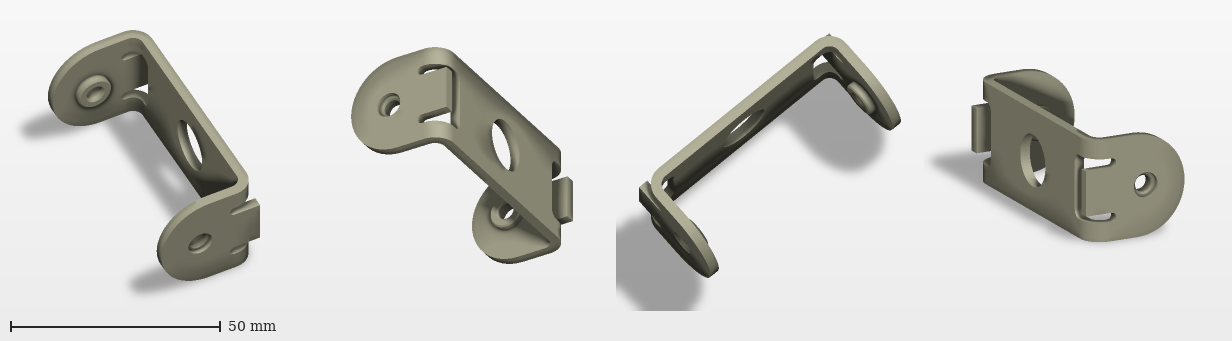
import cadquery as cq

LENGTH = 59.5
HEIGHT = 25.4
DEPTH = 26.4
SHEET = 2.55
BEND_INNER_RADIUS = 2.6
BEND_OUTER_RADIUS = BEND_INNER_RADIUS + SHEET
EAR_RADIUS = HEIGHT / 2
WEB_HOLE_DIAMETER = 13.05

TAB_OVERHANG = 1.1
TAB_HEIGHT = 11.25
WINDOW_HEIGHT = 16.0
WINDOW_WEB_REACH = 8.05
WINDOW_CORNER_RADIUS = 2.0
SLOT_REACH = 6.95

BUSHING_SETBACK = 10.4
FLANGE_DIAMETER = 8.75
FLANGE_THICKNESS = 2.0
FLANGE_CHAMFER = 0.35
SHANK_DIAMETER = 6.35
SHANK_RECESS = 1.2
BORE_DIAMETER = 4.15
BORE_CHAMFER = 0.4

HALF_LENGTH = LENGTH / 2
WEB_BACK = DEPTH - TAB_OVERHANG
BEND_START = WEB_BACK - BEND_OUTER_RADIUS
SLOT_WIDTH = (WINDOW_HEIGHT - TAB_HEIGHT) / 2
SLOT_END = WEB_BACK - SLOT_REACH
SIDES = (-1, 1)


def box_between(x_range, y_range, height):
    """Box over the given X and Y ranges, centred on Z = 0."""
    (x0, x1), (y0, y1) = x_range, y_range
    return (
        cq.Workplane("XY")
        .box(abs(x1 - x0), y1 - y0, height)
        .translate(((x0 + x1) / 2, (y0 + y1) / 2, 0))
    )


def cylinder_along_x(x_start, length, diameter):
    """Cylinder on the bushing axis, running toward +X from x_start."""
    return (
        cq.Workplane("YZ", origin=(x_start, BUSHING_SETBACK, 0))
        .circle(diameter / 2)
        .extrude(length)
    )


def make_bent_sheet():
    """U-shaped sheet with rounded bends and half-round ear fronts."""
    outer = box_between((-HALF_LENGTH, HALF_LENGTH), (0, WEB_BACK), HEIGHT)
    outer = outer.edges("|Z and >Y").fillet(BEND_OUTER_RADIUS)
    inner_half = HALF_LENGTH - SHEET
    inner = box_between((-inner_half, inner_half), (0, WEB_BACK - SHEET), HEIGHT)
    inner = inner.edges("|Z and >Y").fillet(BEND_INNER_RADIUS)
    ear_outline = (
        cq.Workplane("YZ", origin=(-HALF_LENGTH, 0, 0))
        .moveTo(WEB_BACK, EAR_RADIUS)
        .lineTo(EAR_RADIUS, EAR_RADIUS)
        .threePointArc((0, 0), (EAR_RADIUS, -EAR_RADIUS))
        .lineTo(WEB_BACK, -EAR_RADIUS)
        .close()
        .extrude(LENGTH)
    )
    return outer.cut(inner).intersect(ear_outline)


def make_window(side):
    """Opening through one bend, with rounded corners where it ends in the web."""
    outer_x = side * HALF_LENGTH
    inner_x = side * (HALF_LENGTH - WINDOW_WEB_REACH)
    window = box_between((outer_x, inner_x), (BEND_START, DEPTH), WINDOW_HEIGHT)
    web_end = "<X" if side > 0 else ">X"
    return window.edges(f"|Y and {web_end}").fillet(WINDOW_CORNER_RADIUS)


def make_tab(side):
    """Flat tab that carries the ear straight back through the window."""
    outer_x = side * HALF_LENGTH
    return box_between((outer_x, outer_x - side * SHEET), (BEND_START, DEPTH), TAB_HEIGHT)


def make_relief_slots(side):
    """Pair of round-ended slots in one ear, above and below its tab."""
    inner_z = TAB_HEIGHT / 2
    outer_z = WINDOW_HEIGHT / 2
    round_start = SLOT_END + SLOT_WIDTH / 2
    upper_slot = (
        cq.Workplane("YZ", origin=(side * HALF_LENGTH, 0, 0))
        .moveTo(BEND_START, inner_z)
        .lineTo(round_start, inner_z)
        .threePointArc((SLOT_END, (inner_z + outer_z) / 2), (round_start, outer_z))
        .lineTo(BEND_START, outer_z)
        .close()
        .extrude(-side * SHEET)
    )
    return upper_slot.add(upper_slot.mirror("XY")).combine()


def make_bracket():
    """Complete bracket with windows, tabs, slots, web hole and bushing holes."""
    bracket = make_bent_sheet()
    for side in SIDES:
        bracket = bracket.cut(make_window(side))
        bracket = bracket.union(make_tab(side))
        bracket = bracket.cut(make_relief_slots(side))
    web_hole = cq.Workplane("XZ").circle(WEB_HOLE_DIAMETER / 2).extrude(-DEPTH)
    bushing_holes = cylinder_along_x(-HALF_LENGTH, LENGTH, SHANK_DIAMETER)
    return bracket.cut(web_hole).cut(bushing_holes)


def make_bushing(side):
    """Chamfered flange and shank with a through bore, facing inward from one ear."""
    shank = cylinder_along_x(-HALF_LENGTH + SHANK_RECESS, SHEET - SHANK_RECESS, SHANK_DIAMETER)
    flange = cylinder_along_x(-HALF_LENGTH + SHEET, FLANGE_THICKNESS, FLANGE_DIAMETER)
    flange = flange.faces(">X").edges().chamfer(FLANGE_CHAMFER)
    body_length = SHEET - SHANK_RECESS + FLANGE_THICKNESS
    bore = cylinder_along_x(-HALF_LENGTH + SHANK_RECESS, body_length, BORE_DIAMETER)
    bushing = shank.union(flange).cut(bore)
    bushing = bushing.edges(cq.selectors.RadiusNthSelector(0)).chamfer(BORE_CHAMFER)
    return bushing if side < 0 else bushing.mirror("YZ")


bracket = make_bracket()
bushings = [make_bushing(side) for side in SIDES]
result = cq.Compound.makeCompound([bracket.val(), *[bushing.val() for bushing in bushings]])